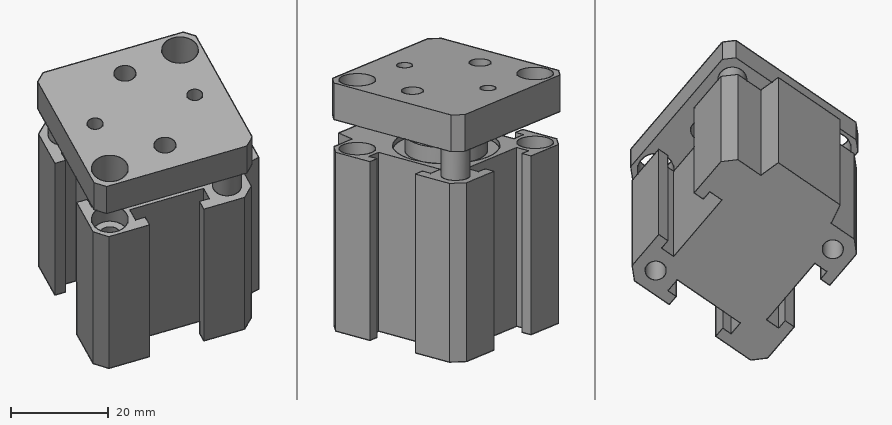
import cadquery as cq

height = 54.0
width = 35.0
half_width = width / 2

housing_height = 39.0
housing_chamfer = 2.5
slot_opening = 12.0
slot_undercut = 2.15
slot_lip = 2.4
slot_floor_radius = 12.0
rail_base_width = 18.15
rail_top_width = 16.0
rail_height = 4.5
recess_diameter = 22.0
recess_depth = 1.0
collar_diameter = 17.0
collar_height = 3.0
collar_chamfer = 0.5

corner_offset = 12.95
rod_corners = [(-corner_offset, -corner_offset), (corner_offset, corner_offset)]
bolt_corners = [(-corner_offset, corner_offset), (corner_offset, -corner_offset)]
bolt_hole_diameter = 4.3
bolt_head_diameter = 7.5
bolt_head_depth = 4.5

plate_thickness = 8.0
plate_bottom = height - plate_thickness
plate_chamfer = 2.0
guide_rod_diameter = 6.0
piston_rod_diameter = 8.0
piston_rod_chamfer = 0.5
flat_width = 6.0
shoulder_height = 0.9
tool_hole_offset = 11.0
side_hole_diameter = 4.5
end_hole_diameter = 3.25


def square_block(bottom, thickness, chamfer):
    """Square block on the centre axis with chamfered vertical edges."""
    block = cq.Workplane("XY").workplane(offset=bottom).rect(width, width).extrude(thickness)
    return block.edges("|Z").chamfer(chamfer)


def cylinders(points, diameter, bottom, top):
    """Vertical cylinders at the given points, for adding or cutting."""
    base = cq.Workplane("XY").workplane(offset=bottom)
    return base.pushPoints(points).circle(diameter / 2).extrude(top - bottom)


def t_slot(angle):
    """T-slot cutter opening toward +X, turned about Z by the angle."""
    lip_inner = half_width - slot_lip
    slot_inner_width = slot_opening + 2 * slot_undercut
    opening_depth = half_width - slot_floor_radius
    opening = (
        cq.Workplane("XY")
        .center(slot_floor_radius + opening_depth / 2, 0)
        .rect(opening_depth, slot_opening)
        .extrude(housing_height)
    )
    chamber = (
        cq.Workplane("XY")
        .center((slot_floor_radius + lip_inner) / 2, 0)
        .rect(lip_inner - slot_floor_radius, slot_inner_width)
        .extrude(housing_height)
    )
    return opening.union(chamber).rotate((0, 0, 0), (0, 0, 1), angle)


def sensor_rail():
    """Tapered rail along the +Y side, full housing height."""
    rail_top = half_width + rail_height
    outline = [
        (-rail_base_width / 2, half_width),
        (rail_base_width / 2, half_width),
        (rail_top_width / 2, rail_top),
        (-rail_top_width / 2, rail_top),
    ]
    return cq.Workplane("XY").polyline(outline).close().extrude(housing_height)


def make_housing():
    body = square_block(0, housing_height, housing_chamfer)
    body = body.union(sensor_rail())

    for angle in (0, 180, 270):
        body = body.cut(t_slot(angle))

    body = body.cut(cylinders(bolt_corners, bolt_hole_diameter, 0, housing_height))
    counterbore_floor = housing_height - bolt_head_depth
    body = body.cut(cylinders(bolt_corners, bolt_head_diameter, counterbore_floor, housing_height))

    recess_floor = housing_height - recess_depth
    body = body.cut(cylinders([(0, 0)], recess_diameter, recess_floor, housing_height))
    collar = cylinders([(0, 0)], collar_diameter, recess_floor, housing_height + collar_height)
    collar = collar.faces(">Z").edges().chamfer(collar_chamfer)
    return body.union(collar)


def make_piston_rod():
    """Rod from the collar to the plate, with two wrench flats facing X."""
    bottom = housing_height + collar_height
    rod = cylinders([(0, 0)], piston_rod_diameter, bottom, plate_bottom)
    rod = rod.faces(">Z").edges().chamfer(piston_rod_chamfer)
    flats_bottom = bottom + shoulder_height
    flats_height = plate_bottom - flats_bottom
    flats_base = cq.Workplane("XY").workplane(offset=flats_bottom)
    between_flats = flats_base.rect(flat_width, piston_rod_diameter).extrude(flats_height)
    full_section = flats_base.rect(piston_rod_diameter, piston_rod_diameter).extrude(flats_height)
    return rod.cut(full_section.cut(between_flats))


def make_moving_plate():
    body = square_block(plate_bottom, plate_thickness, plate_chamfer)
    side_points = [(-tool_hole_offset, 0), (tool_hole_offset, 0)]
    end_points = [(0, -tool_hole_offset), (0, tool_hole_offset)]
    body = body.cut(cylinders(bolt_corners, bolt_head_diameter, plate_bottom, height))
    body = body.cut(cylinders(side_points, side_hole_diameter, plate_bottom, height))
    body = body.cut(cylinders(end_points, end_hole_diameter, plate_bottom, height))

    body = body.union(cylinders(rod_corners, guide_rod_diameter, housing_height, plate_bottom))
    return body.union(make_piston_rod())


housing = make_housing()
moving_plate = make_moving_plate()

result = cq.Compound.makeCompound([housing.solids().val(), moving_plate.solids().val()])